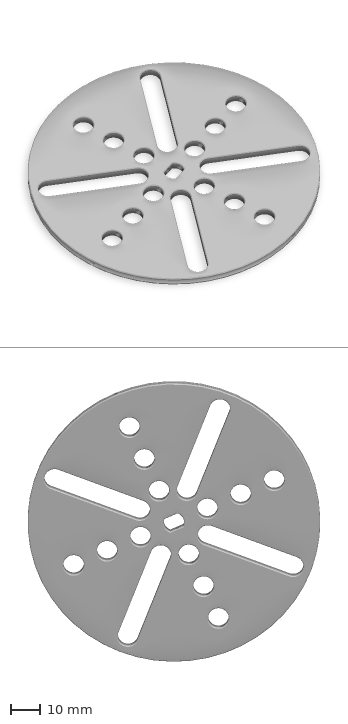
import cadquery as cq

disc_diameter = 100.0
disc_thickness = 3.1
edge_chamfer = 0.3

groove_depth = 1.0
groove_width = disc_thickness / 2

hole_diameter = 7.0
hole_pitch = 12.5
holes_per_arm = 3
arm_angles = (0, 90, 180, 270)

slot_width = hole_diameter
slot_inner_radius = hole_pitch
slot_outer_radius = 43.7
slot_angles = (45, 135, 225, 315)

center_flats_width = 5.0
bore_diameter = 2.0
bore_angles = (0, 90)
seam_angle = 35

disc_radius = disc_diameter / 2
cutter_height = 2 * disc_thickness


def make_disc():
    """Plain disc centred on the origin."""
    return cq.Workplane("XY").cylinder(disc_thickness, disc_radius)


def make_arm_holes(angle):
    """Cutters for one row of evenly spaced holes that starts one pitch from the axis."""
    centers = [(index * hole_pitch, 0) for index in range(1, holes_per_arm + 1)]
    holes = cq.Workplane("XY").pushPoints(centers).cylinder(cutter_height, hole_diameter / 2)
    return holes.rotate((0, 0, 0), (0, 0, 1), angle)


def make_slot(angle):
    """Cutter for one round-ended slot that points away from the disc axis."""
    center_distance = (slot_inner_radius + slot_outer_radius) / 2
    slot_length = slot_outer_radius - slot_inner_radius + slot_width
    slot = cq.Workplane("XY").slot2D(slot_length, slot_width).extrude(cutter_height)
    return slot.translate((center_distance, 0, -cutter_height / 2)).rotate((0, 0, 0), (0, 0, 1), angle)


def make_center_hole():
    """Cutter for a round hole narrowed by two flats that face each other along X."""
    hole = cq.Workplane("XY").cylinder(cutter_height, hole_diameter / 2)
    flats = cq.Workplane("XY").box(center_flats_width, hole_diameter, cutter_height)
    return hole.intersect(flats)


def make_rim_groove():
    """Ring with a triangular section whose apex points at the disc axis.

    The ring is turned about Z so its seam line stays clear of the cross bores.
    """
    section = [
        (disc_radius - groove_depth, 0),
        (disc_radius, groove_width / 2),
        (disc_radius, -groove_width / 2),
    ]
    groove = cq.Workplane("XZ").polyline(section).close().revolve(360, (0, 0), (0, 1))
    return groove.rotate((0, 0, 0), (0, 0, 1), seam_angle)


def make_cross_bore(angle):
    """Cutter for a bore through the full diameter, at the given angle from the X axis.

    The bore is turned about its own axis so its seam line stays clear of the groove apex.
    """
    bore = cq.Workplane("YZ").cylinder(2 * disc_diameter, bore_diameter / 2)
    bore = bore.rotate((0, 0, 0), (1, 0, 0), seam_angle)
    return bore.rotate((0, 0, 0), (0, 0, 1), angle)


result = make_disc().cut(make_center_hole())
for arm_angle in arm_angles:
    result = result.cut(make_arm_holes(arm_angle))
for slot_angle in slot_angles:
    result = result.cut(make_slot(slot_angle))

result = result.faces("|Z").edges().chamfer(edge_chamfer)

result = result.cut(make_rim_groove())
for bore_angle in bore_angles:
    result = result.cut(make_cross_bore(bore_angle))